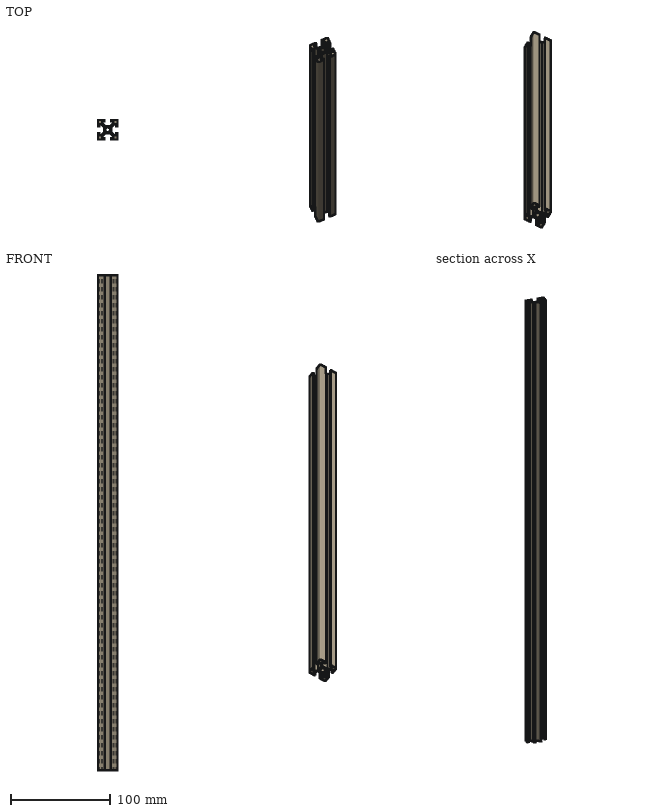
import cadquery as cq
import math

width = 20.0
length = 500.0
corner_radius = 1.0

slot_opening = 6.4
lip_thickness = 1.5
slot_inner_width = 11.0

core_width = 7.7
rib_thickness = 1.4
bore_diameter = 5.0

half_width = width / 2
half_core = core_width / 2
half_opening = slot_opening / 2
half_inner = slot_inner_width / 2
lip_inner = half_width - lip_thickness

rib_offset = rib_thickness / math.sqrt(2)
half_floor = half_core - rib_offset
shoulder_height = half_inner + rib_offset

quarter_turns = (0, 90, 180, 270)


def make_slot():
    """T-slot cutter open towards +Y, running the full length."""
    right_side = [
        (half_floor, half_core),
        (half_inner, shoulder_height),
        (half_inner, lip_inner),
        (half_opening, lip_inner),
        (half_opening, half_width),
    ]
    left_side = [(-x, y) for x, y in reversed(right_side)]
    return cq.Workplane("XY").polyline(right_side + left_side).close().extrude(length)


def make_bar():
    """Square bar with rounded long edges and a central through bore."""
    bar = cq.Workplane("XY").rect(width, width).extrude(length)
    bar = bar.edges("|Z").fillet(corner_radius)
    return bar.faces(">Z").workplane().hole(bore_diameter)


def cut_slots(bar):
    """Cut the same T-slot into all four sides."""
    slot = make_slot()
    for angle in quarter_turns:
        bar = bar.cut(slot.rotate((0, 0, 0), (0, 0, 1), angle))
    return bar


result = cut_slots(make_bar())